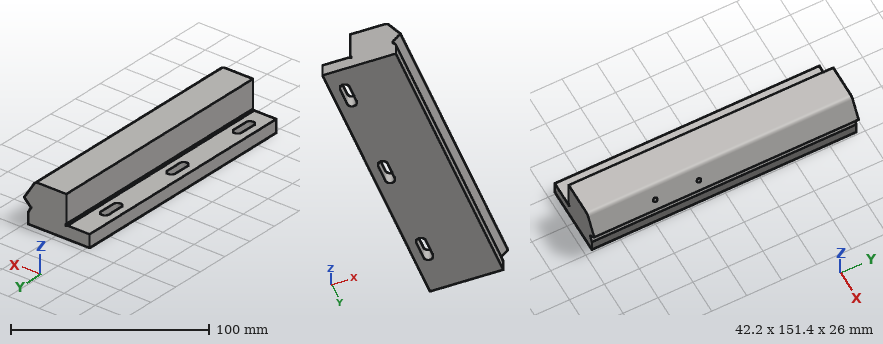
import cadquery as cq
import math

length = 151.4
height = 26.0
flange_width = 15.0
flange_thickness = 8.0
base_width = 39.7
base_side_height = 7.0

nose_x = 42.2
nose_z = 14.7
notch_x = 37.8
notch_z = 10.1
slope_angle = 57.5
top_edge_radius = 3.0
relief_radius = 0.53

slot_x = flange_width / 2
slot_width = 5.0
slot_length = 15.0
slot_pitch = 53.7
middle_slot_y = -5.0

hole_diameter = 2.3
hole_depth = 4.5
hole_x = 39.4
hole_pitch = 25.0
first_hole_y = -14.2

slope = math.tan(math.radians(slope_angle))


def make_body():
    top_corner_x = nose_x - (height - nose_z) / slope
    profile = (
        cq.Workplane("XZ", origin=(0, length / 2, 0))
        .moveTo(0, 0)
        .lineTo(base_width, 0)
        .lineTo(base_width, base_side_height)
        .lineTo(notch_x, notch_z)
        .lineTo(nose_x, nose_z)
        .lineTo(top_corner_x, height)
        .lineTo(flange_width, height)
        .lineTo(flange_width, flange_thickness)
        .lineTo(0, flange_thickness)
        .close()
    )
    body = profile.extrude(length)
    return body.edges("|Y").edges(">Z").edges(">X").fillet(top_edge_radius)


def make_corner_relief():
    return (
        cq.Workplane("XZ", origin=(flange_width, length / 2, flange_thickness))
        .circle(relief_radius)
        .extrude(length)
    )


def make_slots():
    centres = [(slot_x, middle_slot_y + i * slot_pitch) for i in (-1, 0, 1)]
    return (
        cq.Workplane("XY")
        .pushPoints(centres)
        .slot2D(slot_length, slot_width, 90)
        .extrude(flange_thickness)
    )


def make_slope_hole(y):
    angle = math.radians(slope_angle)
    hole_z = nose_z + (nose_x - hole_x) * slope
    mouth = cq.Vector(hole_x, y, hole_z)
    inward = cq.Vector(-math.sin(angle), 0, -math.cos(angle))
    return cq.Solid.makeCylinder(hole_diameter / 2, hole_depth, mouth, inward)


result = make_body().cut(make_corner_relief()).cut(make_slots())
for hole_y in (first_hole_y, first_hole_y - hole_pitch):
    result = result.cut(make_slope_hole(hole_y))